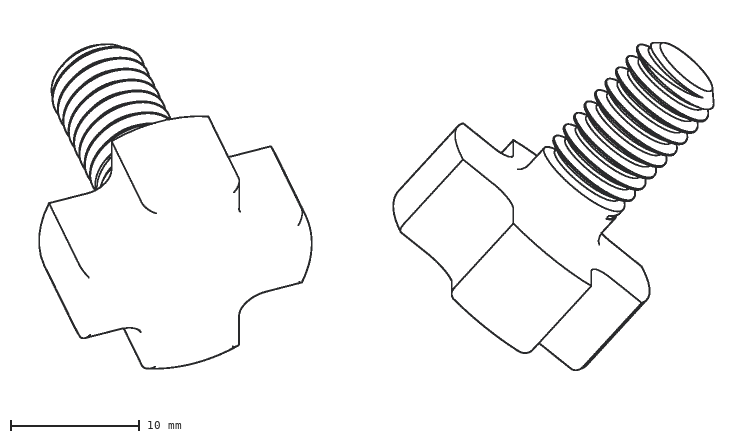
import cadquery as cq
import math

total_length = 24.0
head_diameter = 20.0
head_length = 8.0
head_start = total_length - head_length

lobe_width = 8.0
notch_radius = 2.0
rim_radius = 0.98

shank_radius = 3.9
tip_radius = 2.7
neck_radius = 1.6
tip_chamfer = shank_radius - tip_radius

pitch = 1.25
thread_depth = 0.77
root_width = 0.34
crest_width = 0.15
thread_turns = 10
groove_end = 12.26
runout_turns = 0.37
cutter_clearance = 0.1


def make_head():
    """Cross of two bars trimmed to a cylinder, with rounded notches and a rounded outer rim."""
    bar_length = 2 * head_diameter
    cross = (
        cq.Workplane("YZ", origin=(head_start, 0, 0))
        .rect(bar_length, lobe_width)
        .extrude(head_length)
        .union(
            cq.Workplane("YZ", origin=(head_start, 0, 0))
            .rect(lobe_width, bar_length)
            .extrude(head_length)
        )
    )
    inner_box = cq.selectors.BoxSelector(
        (head_start, -lobe_width, -lobe_width),
        (total_length, lobe_width, lobe_width),
    )
    cross = cross.edges("|X").edges(inner_box).fillet(notch_radius)
    envelope = (
        cq.Workplane("YZ", origin=(head_start, 0, 0))
        .circle(head_diameter / 2)
        .extrude(head_length)
    )
    return cross.intersect(envelope).faces(">X").edges().fillet(rim_radius)


def make_shank():
    """Revolved shank with a chamfered tip and a concave neck that flares into the head."""
    neck_start = head_start - neck_radius
    arc_offset = neck_radius * math.sqrt(0.5)
    arc_middle = (neck_start + arc_offset, shank_radius + neck_radius - arc_offset)
    return (
        cq.Workplane("XY")
        .lineTo(0, tip_radius)
        .lineTo(tip_chamfer, shank_radius)
        .lineTo(neck_start, shank_radius)
        .threePointArc(arc_middle, (head_start, shank_radius + neck_radius))
        .lineTo(head_start, 0)
        .close()
        .revolve(360, (0, 0, 0), (1, 0, 0))
    )


def make_groove(start, turns, cone_angle=360):
    """V-shaped cutter swept along a helix that starts on the +Z side at X = start."""
    root_radius = shank_radius - thread_depth
    half_root = root_width / 2
    half_mouth = (pitch - crest_width) / 2
    flank_slope = (half_mouth - half_root) / thread_depth
    half_outer = half_mouth + flank_slope * cutter_clearance
    outer_radius = shank_radius + cutter_clearance
    slope_pitch = pitch / math.cos(math.radians(cone_angle))
    helix = cq.Wire.makeHelix(slope_pitch, turns * slope_pitch, root_radius, angle=cone_angle)
    groove = (
        cq.Workplane("XZ")
        .moveTo(root_radius, -half_root)
        .lineTo(outer_radius, -half_outer)
        .lineTo(outer_radius, half_outer)
        .lineTo(root_radius, half_root)
        .close()
        .sweep(cq.Workplane(helix), isFrenet=True)
    )
    return (
        groove.rotate((0, 0, 0), (0, 0, 1), 180)
        .rotate((0, 0, 0), (0, 1, 0), 90)
        .translate((start, 0, 0))
    )


full_groove = make_groove(groove_end - thread_turns * pitch, thread_turns)

runout_angle = math.degrees(math.atan(thread_depth / (runout_turns * pitch)))
runout_groove = make_groove(groove_end, runout_turns, runout_angle)

screw = make_shank().cut(full_groove).cut(runout_groove)
result = make_head().union(screw)